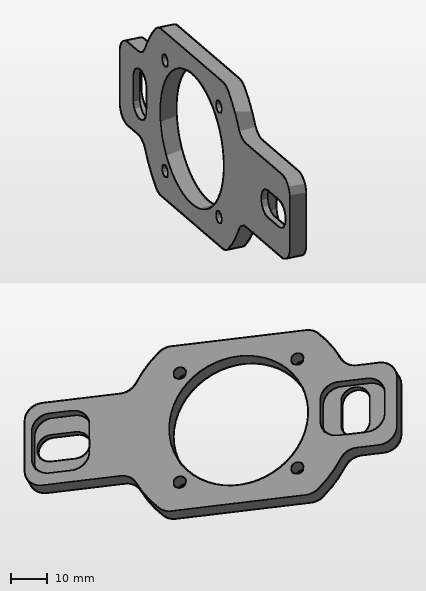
import cadquery as cq

length = 104.5
thickness = 5.0
body_height = 50.0
arm_height = body_height / 2
left_end = -44.4
right_end = left_end + length

body_radius = 32.5
corner_radius = 5.0

bore_diameter = 39.0
screw_diameter = 3.5
screw_spacing = 33.0
slot_length = 14.8
slot_width = 8.0
slot_depth = 2.0
recess_length = 16.2
recess_width = 18.1
recess_corner_radius = 5.0
left_slot_x = -32.0
right_slot_x = 50.0


def block(width, height, center_x=0):
    """Rectangular plate spanning the full thickness behind the XZ plane."""
    return (
        cq.Workplane("XZ")
        .center(center_x, 0)
        .rect(width, height)
        .extrude(-thickness)
    )


def make_plate():
    """Disc with flat top and bottom, joined to an arm across its middle."""
    disc = cq.Workplane("XZ").circle(body_radius).extrude(-thickness)
    body = disc.intersect(block(2 * body_radius, body_height))
    arm = block(length, arm_height, (left_end + right_end) / 2)
    return body.union(arm).edges("|Y").fillet(corner_radius)


def make_slot(center_x, angle):
    """Round-ended slot opening into a larger rounded recess at the back."""
    slot = (
        cq.Workplane("XZ")
        .center(center_x, 0)
        .slot2D(slot_length, slot_width, angle)
        .extrude(-slot_depth)
    )
    recess = (
        cq.Workplane("XZ", origin=(center_x, slot_depth, 0))
        .transformed(rotate=(0, 0, angle))
        .rect(recess_length, recess_width)
        .extrude(slot_depth - thickness)
        .edges("|Y")
        .fillet(recess_corner_radius)
    )
    return slot.union(recess)


def make_round_holes():
    """Central bore and the square pattern of screw holes around it."""
    bore = cq.Workplane("XZ").circle(bore_diameter / 2).extrude(-thickness)
    screws = (
        cq.Workplane("XZ")
        .rect(screw_spacing, screw_spacing, forConstruction=True)
        .vertices()
        .circle(screw_diameter / 2)
        .extrude(-thickness)
    )
    return bore.union(screws)


left_slot = make_slot(left_slot_x, 90)
right_slot = make_slot(right_slot_x, 0)
result = make_plate().cut(make_round_holes()).cut(left_slot).cut(right_slot)